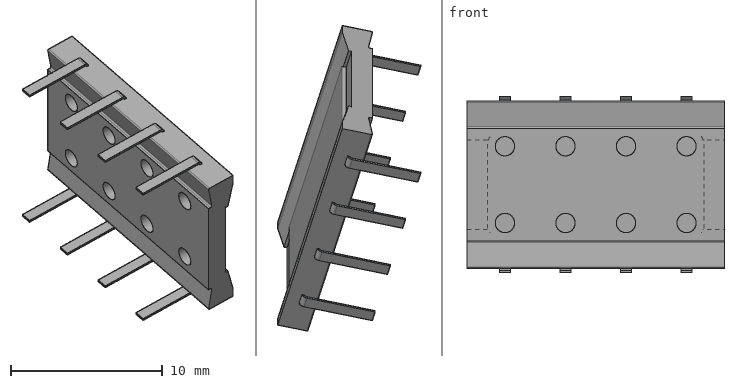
import cadquery as cq
import math

length = 16.99
height = 11.05
thickness = 2.07
front_edge_round = 0.08

band_half_height = 3.7
groove_depth = 0.29
groove_round = 0.1

back_rim_height = 0.73
channel_half_height = 2.95
channel_lip_y = 1.65
channel_floor_y = 1.45

pad_top_y = 1.7
pad_half_height = 3.26
pad_end_gap = 1.36
pad_round = 0.2

column_count = 4
column_pitch = 4.0
hole_diameter = 1.27
hole_row_spacing = 5.06
hole_depth = 1.02

lead_span_y = 5.9
lead_span_z = 11.6
lead_width = 0.75
lead_thickness = 0.15
bend_centre_y = 0.83
bend_outer_radius = 0.34

edge_tolerance = 0.002
half_height = height / 2
column_positions = [(i - (column_count - 1) / 2) * column_pitch for i in range(column_count)]


def round_lengthwise_edges(body, y, z, radius):
    """Fillet the pair of X-direction edges that lie at (y, z) and (y, -z)."""
    edges = [
        edge
        for edge in body.edges("|X").vals()
        if math.hypot(edge.Center().y - y, abs(edge.Center().z) - z) < edge_tolerance
    ]
    return body.newObject(edges).fillet(radius)


def make_housing():
    """Extrude the end profile, symmetric about Z = 0, along X."""
    upper_half = [
        (0, band_half_height),
        (groove_depth, band_half_height),
        (0, half_height),
        (thickness, half_height),
        (thickness, half_height - back_rim_height),
        (channel_lip_y, channel_half_height),
        (channel_floor_y, channel_half_height),
    ]
    lower_half = [(y, -z) for y, z in reversed(upper_half)]
    profile = cq.Workplane("YZ").polyline(upper_half + lower_half).close()
    body = profile.extrude(length / 2, both=True)
    body = round_lengthwise_edges(body, 0, half_height, front_edge_round)
    return round_lengthwise_edges(body, groove_depth, band_half_height, groove_round)


def make_pad():
    """Block on the channel floor with rounded outer ends."""
    pad_length = length - 2 * pad_end_gap
    pad_thickness = pad_top_y - channel_floor_y
    pad = cq.Workplane("XY").box(pad_length, pad_thickness, 2 * pad_half_height)
    pad = pad.faces(">Y").edges("|Z").fillet(pad_round)
    return pad.translate((0, channel_floor_y + pad_thickness / 2, 0))


def make_upper_lead(x):
    """Flat lead that rises out of the housing and bends a quarter turn towards -Y."""
    top_z = lead_span_z / 2
    tip_y = thickness - lead_span_y
    bend_centre_z = top_z - bend_outer_radius
    bend_inner_radius = bend_outer_radius - lead_thickness

    def bend_point(radius, angle):
        return (
            bend_centre_y + radius * math.cos(math.radians(angle)),
            bend_centre_z + radius * math.sin(math.radians(angle)),
        )

    profile = (
        cq.Workplane("YZ", origin=(x, 0, 0))
        .moveTo(tip_y, top_z)
        .lineTo(*bend_point(bend_outer_radius, 90))
        .threePointArc(bend_point(bend_outer_radius, 45), bend_point(bend_outer_radius, 0))
        .lineTo(*bend_point(bend_inner_radius, 0))
        .threePointArc(bend_point(bend_inner_radius, 45), bend_point(bend_inner_radius, 90))
        .lineTo(tip_y, top_z - lead_thickness)
        .close()
    )
    return profile.extrude(lead_width / 2, both=True)


def make_holes():
    """Blind holes in two rows, opening on the front face."""
    centres = [(x, side * hole_row_spacing / 2) for x in column_positions for side in (-1, 1)]
    return cq.Workplane("XZ").pushPoints(centres).circle(hole_diameter / 2).extrude(-hole_depth)


result = make_housing().union(make_pad()).cut(make_holes())
for column_x in column_positions:
    upper_lead = make_upper_lead(column_x)
    result = result.union(upper_lead).union(upper_lead.mirror("XY"))